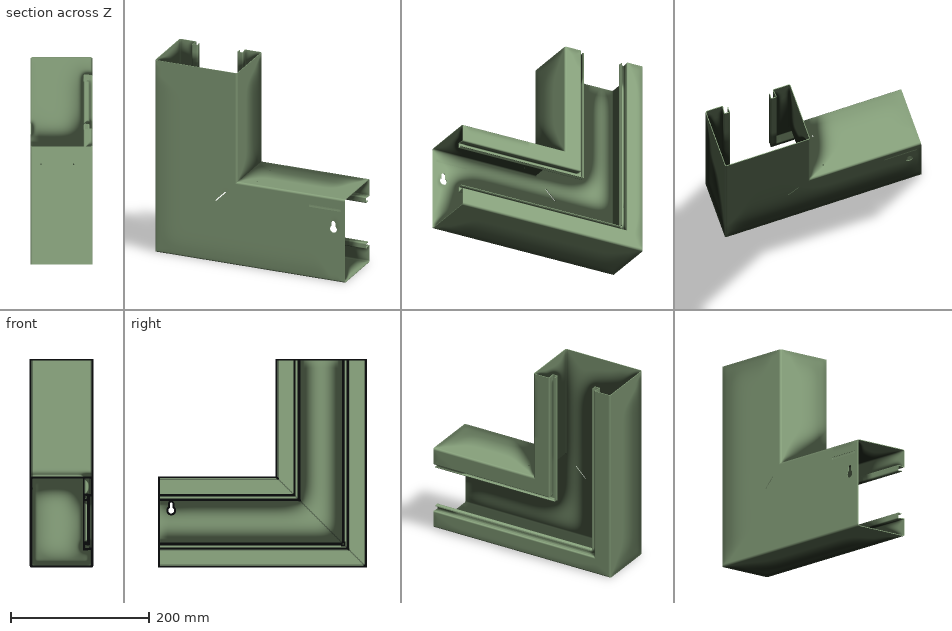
import cadquery as cq
import math


ARM_LENGTH = 299.85
DEPTH = 90.0
WIDTH = 130.0
SHEET = 1.0
WALL_BEND_RADIUS = 2.5

LIP_BEND_RADIUS = 1.5
WEB_FOOT_RADIUS = 1.0
LIP_STEP = 13.0
FLANGE_TOP = 26.8
WEB_KINK = 26.0
WEB_FOOT = 25.1
HOOK_CORNER = 33.7
HOOK_VALLEY = 32.6
HOOK_TIP = 33.3
WEB_KINK_X = 85.6
HOOK_VALLEY_X = 83.2
HOOK_TIP_X = 85.2
HOOK_END_CLEARANCE = 35.4

CUT_DEPTH = 3 * SHEET

KEYHOLE_FROM_END = 17.8
KEYHOLE_HEIGHT = 81.5
KEYHOLE_DIAMETER = 11.0
KEYHOLE_NECK_WIDTH = 6.0
KEYHOLE_NECK_RISE = 10.0

FLAP_LENGTH = 50.0
FLAP_START = 6.2
FLAP_HEIGHT = 110.5
FLAP_OPENING = 3.5
FLAP_ANGLE = 78.0

MITRE_ANGLE = 45.0
MITRE_SLOT_LENGTH = 23.0
MITRE_SLOT_WIDTH = 1.5
MITRE_SLOT_HEIGHT = 104.0

PIN_HOLE_DIAMETER = 2.0
PIN_HOLE_SPACING = 47.2
PIN_HOLE_FIRST_X = 15.3
PIN_HOLE_FROM_CORNER = 25.0


def sheet_surface(path, offset):
    """Corners (point, bend radius) of the sheet surface lying `offset` to the left of the path."""
    points = [cq.Vector(x, z) for x, z, bend_radius in path]
    headings = [(end - start).normalized() for start, end in zip(points, points[1:])]
    normals = [cq.Vector(-along.y, along.x) for along in headings]
    corners = [(points[0] + normals[0] * offset, 0)]
    for index in range(1, len(headings)):
        before = normals[index - 1]
        after = normals[index]
        shift = (before + after) * (offset / (1 + before.dot(after)))
        turn = math.copysign(1, before.cross(after).z)
        bend_radius = path[index][2]
        surface_radius = bend_radius - turn * offset if bend_radius else 0
        corners.append((points[index] + shift, surface_radius))
    corners.append((points[-1] + normals[-1] * offset, 0))
    return corners


def rounded_outline(workplane, corners):
    """Closed outline that starts at a sharp corner and rounds every corner with its own radius."""
    points = [point for point, radius in corners]
    outline = workplane.moveTo(points[0].x, points[0].y)
    for index in range(1, len(corners)):
        point, radius = corners[index]
        next_point = points[(index + 1) % len(points)]
        arriving = (point - points[index - 1]).normalized()
        leaving = (next_point - point).normalized()
        tangent_length = radius * math.tan(arriving.getAngle(leaving) / 2)
        bend_start = point - arriving * tangent_length
        outline = outline.lineTo(bend_start.x, bend_start.y)
        if radius > 0:
            bend_end = point + leaving * tangent_length
            outline = outline.tangentArcPoint((bend_end.x, bend_end.y), relative=False)
    return outline.close()


def trunking_section_path():
    """Mid-thickness path of the bent sheet as (X, Z, bend radius), from one hook tip to the other."""
    half = SHEET / 2
    front = DEPTH - half
    upright = DEPTH - LIP_STEP + half
    lower_half = [
        (HOOK_TIP_X, HOOK_TIP, 0),
        (HOOK_VALLEY_X, HOOK_VALLEY, 0),
        (upright, HOOK_CORNER, LIP_BEND_RADIUS),
        (upright, WEB_FOOT, WEB_FOOT_RADIUS),
        (WEB_KINK_X, WEB_KINK, 0),
        (front, FLANGE_TOP, LIP_BEND_RADIUS),
        (front, half, WALL_BEND_RADIUS),
        (half, half, WALL_BEND_RADIUS),
    ]
    upper_half = [(x, WIDTH - z, bend_radius) for x, z, bend_radius in reversed(lower_half)]
    return lower_half + upper_half


def horizontal_arm():
    """Arm along Y, cut at 45 degrees where it meets the vertical arm."""
    path = trunking_section_path()
    corners = sheet_surface(path, SHEET / 2) + sheet_surface(path, -SHEET / 2)[::-1]
    section_plane = cq.Workplane("XZ", origin=(0, ARM_LENGTH, 0))
    arm = rounded_outline(section_plane, corners).extrude(ARM_LENGTH)
    mitre_keep = (
        cq.Workplane("YZ")
        .polyline([(0, 0), (ARM_LENGTH, 0), (0, ARM_LENGTH)])
        .close()
        .extrude(DEPTH)
    )
    return arm.intersect(mitre_keep)


def elbow_body():
    """Both arms joined; the vertical arm is the horizontal one mirrored in the mitre plane."""
    arm = horizontal_arm()
    upright = arm.mirror(cq.Vector(0, 1, 1), (0, ARM_LENGTH, 0))
    return arm.union(upright, clean=False)


def hook_end_clearance():
    """Block that trims both outer hooks where they would meet at the mitre."""
    hook_underside = HOOK_VALLEY - 2 * SHEET
    size = HOOK_END_CLEARANCE - hook_underside
    return cq.Workplane("XY").box(LIP_STEP, size, size, centered=False).translate(
        (DEPTH - LIP_STEP, ARM_LENGTH - HOOK_END_CLEARANCE, hook_underside)
    )


def keyhole():
    """Round head with a narrower neck above it, cut through the back wall."""
    wall = cq.Workplane("YZ", origin=(-SHEET, KEYHOLE_FROM_END, KEYHOLE_HEIGHT))
    head = wall.circle(KEYHOLE_DIAMETER / 2).extrude(CUT_DEPTH)
    neck = (
        wall.center(0, KEYHOLE_NECK_RISE / 2)
        .slot2D(KEYHOLE_NECK_RISE + KEYHOLE_NECK_WIDTH, KEYHOLE_NECK_WIDTH, 90)
        .extrude(CUT_DEPTH)
    )
    return head.union(neck)


def flap_opening():
    """Rectangular opening left by the bent flap."""
    return cq.Workplane("XY").box(
        CUT_DEPTH, FLAP_LENGTH, FLAP_OPENING, centered=(True, False, False)
    ).translate((0, FLAP_START, FLAP_HEIGHT))


def flap():
    """Strip hinged on the lower edge of its opening and bent into the trunking."""
    reach = FLAP_OPENING / math.tan(math.radians(FLAP_ANGLE))
    return (
        cq.Workplane("XZ", origin=(0, FLAP_START + FLAP_LENGTH, 0))
        .polyline([
            (0, FLAP_HEIGHT),
            (reach, FLAP_HEIGHT + FLAP_OPENING),
            (reach + SHEET, FLAP_HEIGHT + FLAP_OPENING),
            (SHEET, FLAP_HEIGHT),
        ])
        .close()
        .extrude(FLAP_LENGTH)
    )


def mitre_slot():
    """Narrow slot lying on the mitre line of the back wall."""
    return (
        cq.Workplane("YZ", origin=(-SHEET, ARM_LENGTH - MITRE_SLOT_HEIGHT, MITRE_SLOT_HEIGHT))
        .slot2D(MITRE_SLOT_LENGTH, MITRE_SLOT_WIDTH, -MITRE_ANGLE)
        .extrude(CUT_DEPTH)
    )


def pin_holes():
    """Row of two small holes beside the inner corner."""
    row_y = ARM_LENGTH - WIDTH - PIN_HOLE_FROM_CORNER
    return (
        cq.Workplane("XY", origin=(0, row_y, WIDTH - 2 * SHEET))
        .pushPoints([(PIN_HOLE_FIRST_X, 0), (PIN_HOLE_FIRST_X + PIN_HOLE_SPACING, 0)])
        .circle(PIN_HOLE_DIAMETER / 2)
        .extrude(CUT_DEPTH)
    )


elbow = elbow_body()
for cutter in (hook_end_clearance(), keyhole(), flap_opening(), mitre_slot(), pin_holes()):
    elbow = elbow.cut(cutter, clean=False)
elbow = elbow.union(flap(), clean=False)
result = cq.Workplane("XY").newObject([elbow.solids().val()])